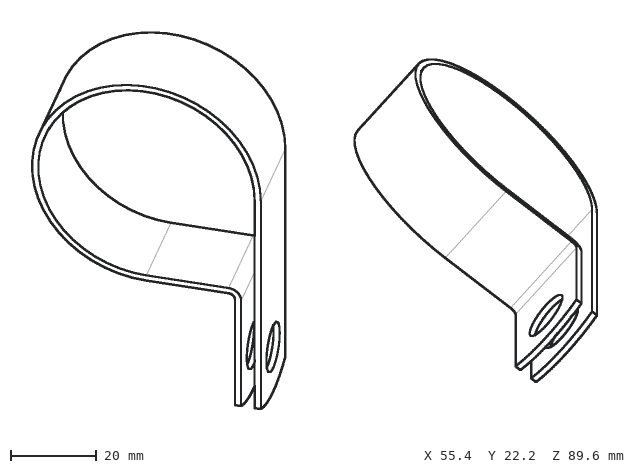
import cadquery as cq

total_height = 89.6
strap_width = 22.2
thickness = 1.5
loop_radius = 27.7
leg_gap = 3.2
bend_inner_radius = 1.5
hole_diameter = 11.9
hole_to_tip = 12.8
tip_drop = 2.6

loop_inner_radius = loop_radius - thickness
tip_z = loop_radius - total_height
short_leg_outer_x = loop_inner_radius - leg_gap
short_leg_inner_x = short_leg_outer_x - thickness
bend_outer_radius = bend_inner_radius + thickness
bend_x = short_leg_outer_x - bend_outer_radius
bend_z = -loop_inner_radius - bend_outer_radius


def make_strap():
    """Bent strip: long leg, three-quarter loop, flat floor and short leg."""
    return (
        cq.Workplane("XZ")
        .moveTo(loop_radius, tip_z)
        .lineTo(loop_radius, 0)
        .radiusArc((0, loop_radius), -loop_radius)
        .threePointArc((-loop_radius, 0), (0, -loop_radius))
        .lineTo(bend_x, -loop_radius)
        .radiusArc((short_leg_inner_x, bend_z), bend_inner_radius)
        .lineTo(short_leg_inner_x, tip_z)
        .lineTo(short_leg_outer_x, tip_z)
        .lineTo(short_leg_outer_x, bend_z)
        .radiusArc((bend_x, -loop_inner_radius), -bend_outer_radius)
        .lineTo(0, -loop_inner_radius)
        .threePointArc((-loop_inner_radius, 0), (0, loop_inner_radius))
        .radiusArc((loop_inner_radius, 0), loop_inner_radius)
        .lineTo(loop_inner_radius, tip_z)
        .close()
        .extrude(strap_width / 2, both=True)
    )


def make_side_outline():
    """Envelope along X that rounds the ends of both legs."""
    half_width = strap_width / 2
    return (
        cq.Workplane("YZ")
        .moveTo(-half_width, loop_radius)
        .lineTo(-half_width, tip_z + tip_drop)
        .threePointArc((0, tip_z), (half_width, tip_z + tip_drop))
        .lineTo(half_width, loop_radius)
        .close()
        .extrude(loop_radius, both=True)
    )


def make_bolt_hole():
    """Cylinder along X through both legs."""
    return (
        cq.Workplane("YZ")
        .center(0, tip_z + hole_to_tip)
        .circle(hole_diameter / 2)
        .extrude(loop_radius)
    )


result = make_strap().intersect(make_side_outline()).cut(make_bolt_hole())